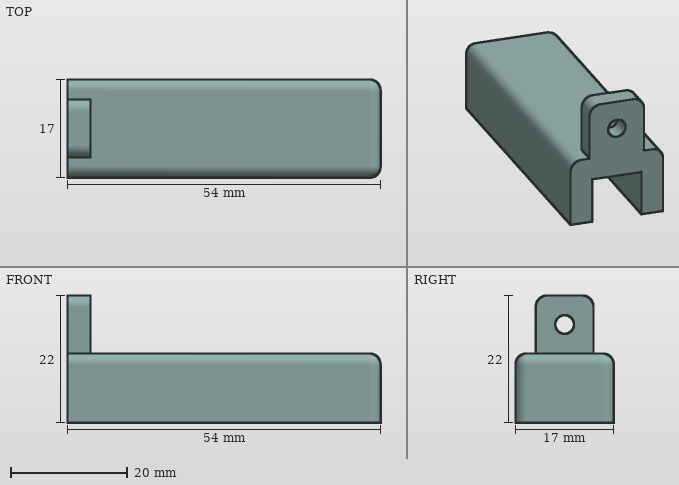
import cadquery as cq

length = 54.0
width = 17.0
body_height = 12.0
wall = 4.0
edge_radius = 2.0

total_height = 22.0
tab_thickness = 4.0
tab_width = 10.0
hole_diameter = 3.2
hole_drop = 5.0


def make_body():
    """Block with rounded top edges, rounded far corners and a flat open end."""
    block = cq.Workplane("XY").box(length, width, body_height, centered=(False, True, False))
    return block.edges("(|X and >Z) or (>X and >Z) or (|Z and >X)").fillet(edge_radius)


def make_channel():
    """Cavity open at the bottom and the -X end, leaving walls, roof and end wall."""
    return cq.Workplane("XY").box(
        length - wall,
        width - 2 * wall,
        body_height - wall,
        centered=(False, True, False),
    )


def make_tab():
    """Upright plate with rounded top corners, pierced along X."""
    plate = cq.Workplane("XY").box(
        tab_thickness,
        tab_width,
        total_height - body_height + wall,
        centered=(False, True, False),
    ).translate((0, 0, body_height - wall))
    plate = plate.edges("|X and >Z").fillet(edge_radius)
    hole = (
        cq.Workplane("YZ")
        .center(0, total_height - hole_drop)
        .circle(hole_diameter / 2)
        .extrude(tab_thickness)
    )
    return plate.cut(hole)


result = make_body().union(make_tab()).cut(make_channel())